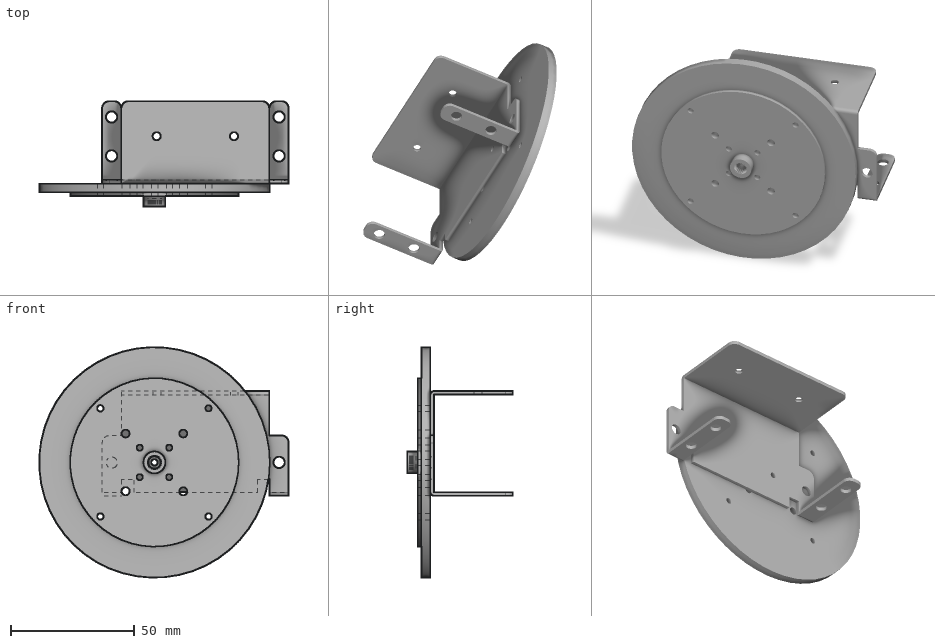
import cadquery as cq
import math


WHEEL_DIA = 93.64
WHEEL_THICK = 3.64
FLANGE_DIA = 68.4
FLANGE_THICK = 1.52
HUB_DIA = 8.9
HUB_HEIGHT = 4.26
BORE_DIA = 2.5
SPLINE_TEETH = 24
SPLINE_TIP_DIA = 5.6
SPLINE_ROOT_DIA = 4.8
SPLINE_DEPTH = 3.5
WHEEL_HOLE_RINGS = [(5.97, 2.5), (11.7, 3.2), (21.95, 2.5)]

SHEET = 1.5
BEND_RADIUS = SHEET
CORNER_RADIUS = 3.0
BRACKET_X = 16.6
WEB_WIDTH = 60.1
OVERALL_WIDTH = 75.8
ARM_LENGTH = 33.46
BRACKET_TOP = 29.0
BRACKET_BOTTOM = -13.6
TAB_TOP = 11.0
RELIEF_WIDTH = 5.0
RELIEF_TOP = -6.8
MOUNT_HOLE_DIA = 4.5
MOUNT_HOLE_SPACING = 68.0
LOWER_ARM_HOLES_Y = (11.2, 27.0)
TOP_HOLE_DIA = 3.2
TOP_HOLE_SPACING = 31.4
TOP_HOLE_Y = 19.2

TAB_WIDTH = (OVERALL_WIDTH - WEB_WIDTH) / 2
WEB_BOTTOM = BRACKET_BOTTOM + SHEET
WEB_BORE_DIA = BORE_DIA
SIDES = (-1, 1)


def disc(diameter, start, length):
    """Round plate on the wheel axis, with its back at Y = -start, growing toward -Y."""
    plane = cq.Workplane("XZ", origin=(0, -start, 0))
    return plane.circle(diameter / 2).extrude(length)


def box(x_min, x_max, y_min, y_max, z_min, z_max):
    size = (x_max - x_min, y_max - y_min, z_max - z_min)
    return cq.Workplane("XY").box(*size, centered=False).translate((x_min, y_min, z_min))


def spline_outline():
    """Zigzag outline of the spline socket, with one tooth end on the +X side."""
    points = []
    for i in range(2 * SPLINE_TEETH):
        angle = math.pi * i / SPLINE_TEETH
        radius = (SPLINE_TIP_DIA if i % 2 else SPLINE_ROOT_DIA) / 2
        points.append((radius * math.cos(angle), radius * math.sin(angle)))
    return points


def make_wheel():
    flange_face = WHEEL_THICK + FLANGE_THICK
    hub_face = flange_face + HUB_HEIGHT
    body = disc(WHEEL_DIA, 0, WHEEL_THICK)
    body = body.union(disc(FLANGE_DIA, WHEEL_THICK, FLANGE_THICK))
    body = body.union(disc(HUB_DIA, flange_face, HUB_HEIGHT))

    for reach, diameter in WHEEL_HOLE_RINGS:
        holes = cq.Workplane("XZ").rect(2 * reach, 2 * reach, forConstruction=True).vertices()
        body = body.cut(holes.circle(diameter / 2).extrude(flange_face))
    body = body.cut(disc(BORE_DIA, 0, hub_face))

    socket_floor = cq.Workplane("XZ", origin=(0, SPLINE_DEPTH - hub_face, 0))
    socket = socket_floor.polyline(spline_outline()).close().extrude(SPLINE_DEPTH)
    return body.cut(socket)


def make_top_arm_and_web():
    half = WEB_WIDTH / 2
    left = BRACKET_X - half
    right = BRACKET_X + half
    web = box(left, right, 0, SHEET, WEB_BOTTOM, BRACKET_TOP)
    arm = box(left, right, 0, ARM_LENGTH, BRACKET_TOP - SHEET, BRACKET_TOP)
    arm = arm.edges("|Z and >Y").fillet(CORNER_RADIUS)
    body = web.union(arm)
    body = body.edges("|X and <Y and >Z").fillet(BEND_RADIUS)

    top_holes = (
        cq.Workplane("XY", origin=(BRACKET_X, TOP_HOLE_Y, BRACKET_TOP - SHEET))
        .rarray(TOP_HOLE_SPACING, 1, 2, 1)
        .circle(TOP_HOLE_DIA / 2)
        .extrude(SHEET)
    )
    web_bore = cq.Workplane("XZ").circle(WEB_BORE_DIA / 2).extrude(-SHEET)
    body = body.cut(top_holes).cut(web_bore)

    for inner, outer in ((left + RELIEF_WIDTH, left), (right - RELIEF_WIDTH, right)):
        relief = box(min(inner, outer), max(inner, outer), 0, SHEET, WEB_BOTTOM, RELIEF_TOP)
        body = body.cut(relief)
    return body


def make_tab(side):
    """L-shaped mounting tab on one side of the web, with its lower arm bent back toward +Y."""
    middle = BRACKET_X + side * (WEB_WIDTH + TAB_WIDTH) / 2
    left = middle - TAB_WIDTH / 2
    right = middle + TAB_WIDTH / 2
    outer_edge = ">X" if side > 0 else "<X"

    upright = box(left, right, 0, SHEET, BRACKET_BOTTOM, TAB_TOP)
    upright = upright.edges("|Y and >Z").edges(outer_edge).fillet(CORNER_RADIUS)
    arm = box(left, right, 0, ARM_LENGTH, BRACKET_BOTTOM, BRACKET_BOTTOM + SHEET)
    arm = arm.edges("|Z and >Y").fillet(CORNER_RADIUS)
    tab = upright.union(arm)
    tab = tab.edges("|X and <Y and <Z").fillet(BEND_RADIUS)

    hole_x = BRACKET_X + side * MOUNT_HOLE_SPACING / 2
    front_hole = cq.Workplane("XZ").center(hole_x, 0).circle(MOUNT_HOLE_DIA / 2).extrude(-SHEET)
    arm_holes = (
        cq.Workplane("XY", origin=(0, 0, BRACKET_BOTTOM))
        .pushPoints([(hole_x, y) for y in LOWER_ARM_HOLES_Y])
        .circle(MOUNT_HOLE_DIA / 2)
        .extrude(SHEET)
    )
    return tab.cut(front_hole).cut(arm_holes)


def make_bracket():
    body = make_top_arm_and_web()
    for side in SIDES:
        body = body.union(make_tab(side))
    return body


wheel = make_wheel()
bracket = make_bracket()
result = cq.Compound.makeCompound([wheel.val(), bracket.val()])